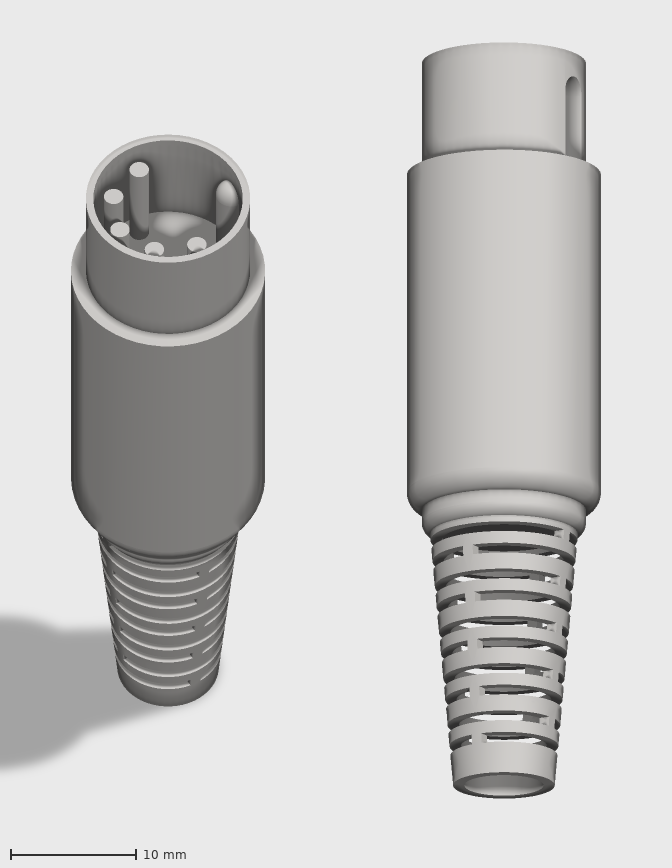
import cadquery as cq
import math

TOTAL_LENGTH = 59.6
COLLAR_BOTTOM = 20.7
BODY_BOTTOM = 22.65
BODY_TOP = 50.4
SHOULDER_RISE = 0.1
SHELL_BOTTOM = BODY_TOP + SHOULDER_RISE

BODY_RADIUS = 7.75
BODY_FILLET = 1.55
COLLAR_RADIUS = 6.55
COLLAR_FILLET = 1.0

RELIEF_TOP_RADIUS = 5.9
RELIEF_BOTTOM_RADIUS = 4.05
RELIEF_WALL = 0.9
SLOT_HEIGHT = 0.8
SLOT_PAIRS = 5
SLOT_PITCH = 3.8
LOWEST_SLOT = 2.85
STAGGER = 1.7
POST_WIDTH = 0.9

SHELL_RADIUS = COLLAR_RADIUS
SHELL_WALL = 0.6
SHELL_INNER_RADIUS = SHELL_RADIUS - SHELL_WALL
PIN_RADIUS = 0.8
PIN_TOP = 58.5
PIN_CIRCLE_RADIUS = 4.45
PIN_COUNT = 5
PIN_SPACING_ANGLE = 45.0
KEY_RADIUS = 1.25
KEY_OFFSET = 5.9
DENT_OFFSET = KEY_OFFSET + SHELL_WALL
KEY_SHOULDER = 56.4


def cylinder(radius, bottom, top):
    """Upright cylinder on the part's axis between two heights."""
    return cq.Workplane("XY").workplane(offset=bottom).circle(radius).extrude(top - bottom)


def grip_body():
    """Cylinder with a rounded lower edge and a shallow conical shoulder on top."""
    body = cylinder(BODY_RADIUS, BODY_BOTTOM, BODY_TOP).faces("<Z").edges().fillet(BODY_FILLET)
    shoulder = (
        cq.Workplane("XZ")
        .moveTo(0, BODY_TOP)
        .lineTo(BODY_RADIUS, BODY_TOP)
        .lineTo(SHELL_RADIUS, SHELL_BOTTOM)
        .lineTo(0, SHELL_BOTTOM)
        .close()
        .revolve(360, (0, 0), (0, 1))
    )
    return body.union(shoulder)


def collar():
    """Rounded ring joining the grip body to the strain relief."""
    ring = cylinder(COLLAR_RADIUS, COLLAR_BOTTOM, BODY_BOTTOM + BODY_FILLET)
    return ring.faces("<Z").edges().fillet(COLLAR_FILLET)


def relief_slot(height, post_axis_angle):
    """Cutter for one slot level; leaves two opposite posts along the given direction."""
    reach = 2 * BODY_RADIUS
    slab = cq.Workplane("XY").box(reach, reach, SLOT_HEIGHT)
    posts = cq.Workplane("XY").box(reach, POST_WIDTH, SLOT_HEIGHT)
    cutter = slab.cut(posts).rotate((0, 0, 0), (0, 0, 1), post_axis_angle)
    return cutter.translate((0, 0, height))


def strain_relief():
    """Open-ended conical sleeve whose slot levels alternate by a quarter turn."""
    sleeve = (
        cq.Workplane("XZ")
        .moveTo(RELIEF_BOTTOM_RADIUS - RELIEF_WALL, 0)
        .lineTo(RELIEF_BOTTOM_RADIUS, 0)
        .lineTo(RELIEF_TOP_RADIUS, COLLAR_BOTTOM)
        .lineTo(RELIEF_TOP_RADIUS - RELIEF_WALL, COLLAR_BOTTOM)
        .close()
        .revolve(360, (0, 0), (0, 1))
    )
    sleeve = sleeve.union(cylinder(RELIEF_TOP_RADIUS, COLLAR_BOTTOM, COLLAR_BOTTOM + COLLAR_FILLET))
    for pair in range(SLOT_PAIRS):
        height = LOWEST_SLOT + pair * SLOT_PITCH
        sleeve = sleeve.cut(relief_slot(height, 0))
        sleeve = sleeve.cut(relief_slot(height + STAGGER, 90))
    return sleeve


def shell():
    """Round metal shell, open at the top."""
    outer = cylinder(SHELL_RADIUS, SHELL_BOTTOM, TOTAL_LENGTH)
    return outer.cut(cylinder(SHELL_INNER_RADIUS, SHELL_BOTTOM, TOTAL_LENGTH))


def domed_post(distance):
    """Key-sized round post ending in a hemisphere, at the given distance from the axis towards +Y."""
    post = (
        cq.Workplane("XZ")
        .moveTo(0, SHELL_BOTTOM)
        .lineTo(KEY_RADIUS, SHELL_BOTTOM)
        .lineTo(KEY_RADIUS, KEY_SHOULDER)
        .radiusArc((0, KEY_SHOULDER + KEY_RADIUS), -KEY_RADIUS)
        .close()
        .revolve(360, (0, 0), (0, 1))
    )
    return post.translate((0, distance, 0))


def key():
    """Polarising key, trimmed so that its back ends halfway through the shell wall."""
    trim_radius = SHELL_RADIUS - SHELL_WALL / 2
    return domed_post(KEY_OFFSET).intersect(cylinder(trim_radius, SHELL_BOTTOM, TOTAL_LENGTH))


def pin(index):
    """Contact pin; the row covers the -Y half of the pin circle."""
    angle = math.radians(180 + index * PIN_SPACING_ANGLE)
    place = (PIN_CIRCLE_RADIUS * math.cos(angle), PIN_CIRCLE_RADIUS * math.sin(angle), 0)
    return cylinder(PIN_RADIUS, SHELL_BOTTOM, PIN_TOP).translate(place)


result = grip_body().union(collar()).union(strain_relief()).union(shell()).union(key())
result = result.cut(domed_post(DENT_OFFSET))
for index in range(PIN_COUNT):
    result = result.union(pin(index))